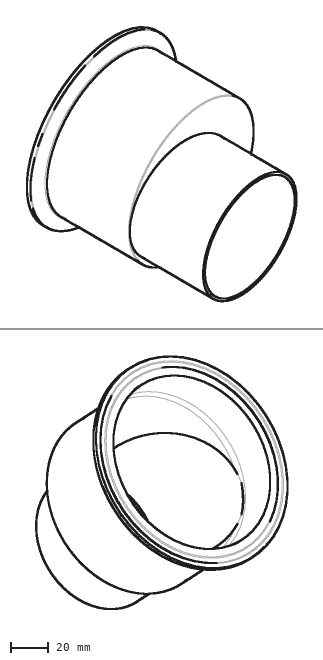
import cadquery as cq
import math

TOTAL_LENGTH = 114.3
FERRULE_LENGTH = 15.875
SHOULDER_X = 63.5

LARGE_OUTER_R = 101.6 / 2
LARGE_BORE_R = 97.38 / 2

SMALL_OUTER_R = 76.2 / 2
SMALL_BORE_R = 72.9 / 2
SMALL_AXIS_Y = -(LARGE_BORE_R - SMALL_BORE_R)

FLANGE_R = 118.92 / 2
RIM_WIDTH = 2.85
CLAMP_ANGLE = 20
RIM_FILLET = 0.5
NECK_FILLET = 1.0

GROOVE_MIDDLE_R = 55.05
GROOVE_WIDTH = 3.8
GROOVE_DEPTH = 1.5
GROOVE_LIP_R = 0.6

SHOULDER_ANGLE = 14
SHOULDER_FILLET = 0.5

BORE_CONE_X = 27
BORE_CONE_ANGLE = 30
BORE_CONE_FILLET = 8


def revolve_about_x(profile):
    return profile.close().revolve(360, (0, 0, 0), (1, 0, 0))


def cylinder_along_x(radius, start_x, end_x, axis_y=0):
    base = cq.Workplane("YZ", origin=(start_x, axis_y, 0))
    return base.circle(radius).extrude(end_x - start_x)


def edge_at(x):
    """Select the circular edge that lies in the plane at x."""
    margin = 0.1
    reach = FLANGE_R + 1
    return cq.selectors.BoxSelector(
        (x - margin, -reach, -reach), (x + margin, reach, reach), boundingbox=True
    )


def outer_body():
    neck_x = RIM_WIDTH + (FLANGE_R - LARGE_OUTER_R) * math.tan(math.radians(CLAMP_ANGLE))
    apex_x = SHOULDER_X + LARGE_OUTER_R * math.tan(math.radians(SHOULDER_ANGLE))
    body = revolve_about_x(
        cq.Workplane("XY")
        .moveTo(0, 0)
        .lineTo(0, FLANGE_R)
        .lineTo(RIM_WIDTH, FLANGE_R)
        .lineTo(neck_x, LARGE_OUTER_R)
        .lineTo(SHOULDER_X, LARGE_OUTER_R)
        .lineTo(apex_x, 0)
    )
    body = body.edges(edge_at(RIM_WIDTH)).fillet(RIM_FILLET)
    body = body.edges(edge_at(neck_x)).fillet(NECK_FILLET)
    body = body.edges(edge_at(SHOULDER_X)).fillet(SHOULDER_FILLET)
    return body.union(cylinder_along_x(SMALL_OUTER_R, FERRULE_LENGTH, TOTAL_LENGTH, SMALL_AXIS_Y))


def gasket_groove():
    half_width = GROOVE_WIDTH / 2
    centre_distance = (GROOVE_DEPTH**2 + half_width**2) / (2 * GROOVE_DEPTH)
    floor_r = centre_distance - GROOVE_LIP_R
    lean = math.asin(half_width / centre_distance)
    join_x = GROOVE_LIP_R * (1 - math.cos(lean))
    join_offset = floor_r * math.sin(lean)
    lip_middle_x = GROOVE_LIP_R * (1 - math.cos(lean / 2))
    lip_middle_offset = half_width - GROOVE_LIP_R * math.sin(lean / 2)
    return revolve_about_x(
        cq.Workplane("XY")
        .moveTo(0, GROOVE_MIDDLE_R - half_width)
        .threePointArc(
            (lip_middle_x, GROOVE_MIDDLE_R - lip_middle_offset),
            (join_x, GROOVE_MIDDLE_R - join_offset),
        )
        .threePointArc((GROOVE_DEPTH, GROOVE_MIDDLE_R), (join_x, GROOVE_MIDDLE_R + join_offset))
        .threePointArc(
            (lip_middle_x, GROOVE_MIDDLE_R + lip_middle_offset),
            (0, GROOVE_MIDDLE_R + half_width),
        )
    )


def large_bore():
    apex_x = BORE_CONE_X + LARGE_BORE_R / math.tan(math.radians(BORE_CONE_ANGLE))
    bore = revolve_about_x(
        cq.Workplane("XY")
        .moveTo(0, 0)
        .lineTo(0, LARGE_BORE_R)
        .lineTo(BORE_CONE_X, LARGE_BORE_R)
        .lineTo(apex_x, 0)
    )
    return bore.edges(edge_at(BORE_CONE_X)).fillet(BORE_CONE_FILLET)


def small_bore():
    return cylinder_along_x(SMALL_BORE_R, BORE_CONE_X, TOTAL_LENGTH, SMALL_AXIS_Y)


result = outer_body().cut(gasket_groove()).cut(large_bore()).cut(small_bore())